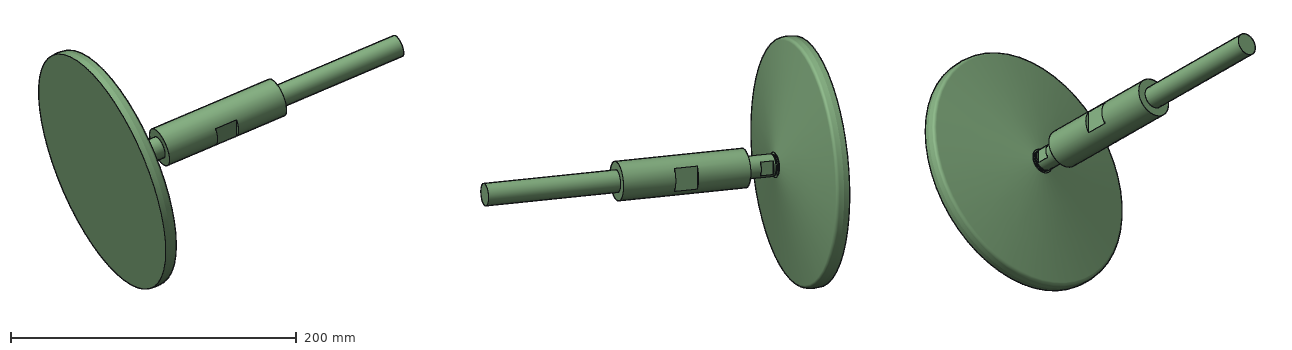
import cadquery as cq
import math


foot_diameter = 178.0
foot_radius = foot_diameter / 2
parting_line_height = 4.2
rim_draft = 0.4
rim_height = 7.2
rim_radius = foot_radius - rim_draft
shoulder_radius = 2.6
cone_top_height = 22.85
lip_radius = 9.0
lip_root_radius = 7.7
lip_bottom_height = 23.4
lip_edge_height = 23.9
lip_top_height = 24.2

spindle_diameter = 16.0
spindle_top_height = 240.0
groove_diameter = 14.6
groove_top_height = 25.3

sleeve_diameter = 28.0
sleeve_bottom_height = 46.5
sleeve_length = 95.0

spindle_flat_width = 12.5
spindle_flat_length = 9.5
spindle_flat_bottom = 27.0
sleeve_flat_width = 22.4
sleeve_flat_length = 17.0
sleeve_flat_bottom = sleeve_bottom_height + (sleeve_length - sleeve_flat_length) / 2


def cylinder(diameter, bottom, length):
    """Cylinder on the Y axis, rising from the given height."""
    return cq.Workplane("XZ", origin=(0, bottom, 0)).circle(diameter / 2).extrude(-length)


def cut_wrench_flats(body, diameter, width, bottom, length):
    """Cut two opposite flats into a round body of the given diameter."""
    depth = (diameter - width) / 2
    for side in (-1, 1):
        cutter = cq.Workplane("XY").box(2 * depth, length, diameter)
        body = body.cut(cutter.translate((side * diameter / 2, bottom + length / 2, 0)))
    return body


def make_foot():
    centre_x = rim_radius - shoulder_radius
    run = centre_x - lip_root_radius
    rise = cone_top_height - rim_height
    slope_to_cone_top = math.atan2(rise, -run)
    cone_normal = slope_to_cone_top - math.acos(shoulder_radius / math.hypot(run, rise))

    def on_shoulder(angle):
        return (
            centre_x + shoulder_radius * math.cos(angle),
            rim_height + shoulder_radius * math.sin(angle),
        )

    profile = (
        cq.Workplane("XY")
        .lineTo(rim_radius, 0)
        .lineTo(foot_radius, parting_line_height)
        .lineTo(rim_radius, rim_height)
        .threePointArc(on_shoulder(cone_normal / 2), on_shoulder(cone_normal))
        .lineTo(lip_root_radius, cone_top_height)
        .lineTo(lip_root_radius, lip_bottom_height)
        .lineTo(lip_radius, lip_edge_height)
        .lineTo(lip_root_radius, lip_top_height)
        .lineTo(0, lip_top_height)
        .close()
    )
    return profile.revolve(360, (0, 0, 0), (0, 1, 0))


def make_spindle():
    rod = cylinder(spindle_diameter, groove_top_height, spindle_top_height - groove_top_height)
    neck = cylinder(groove_diameter, lip_top_height, groove_top_height - lip_top_height)
    return cut_wrench_flats(
        rod.union(neck), spindle_diameter, spindle_flat_width, spindle_flat_bottom, spindle_flat_length
    )


def make_sleeve():
    tube = cylinder(sleeve_diameter, sleeve_bottom_height, sleeve_length).cut(
        cylinder(spindle_diameter, sleeve_bottom_height, sleeve_length)
    )
    return cut_wrench_flats(
        tube, sleeve_diameter, sleeve_flat_width, sleeve_flat_bottom, sleeve_flat_length
    )


foot = make_foot()
spindle = make_spindle()
sleeve = make_sleeve()

result = cq.Compound.makeCompound([foot.val(), spindle.val(), sleeve.val()])